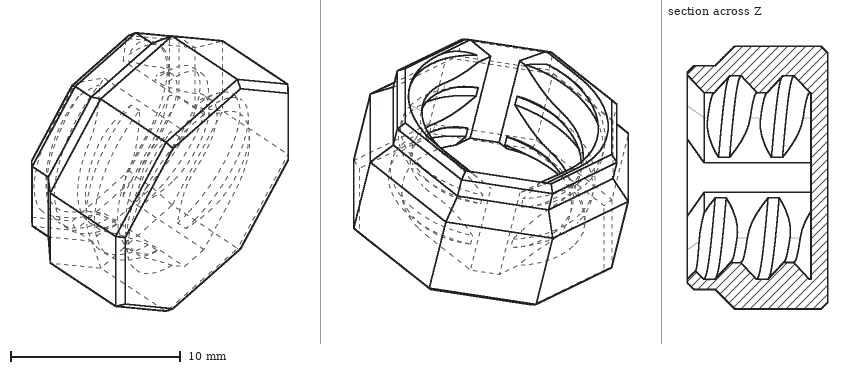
import cadquery as cq
import math

length = 8.3
sides = 8
half_side_angle = 180 / sides
body_flats = 15.5
collar_flats = 13.2
edge_chamfer = 0.4
shoulder_start = 1.65
shoulder_end = shoulder_start + (body_flats - collar_flats) / 2
mouth_flats = collar_flats - 2 * edge_chamfer
back_flats = body_flats - 2 * edge_chamfer

floor_thickness = 1.0
cavity_depth = length - floor_thickness
bore_radius = 5.0
mouth_radius = 6.0
lead_in_depth = 1.0
cavity_half_height = mouth_flats / 2

pitch = 3.12
thread_depth = 1.0
root_width = 0.65
crest_width = 0.61
root_radius = bore_radius + thread_depth
root_position = 2.08
lead_turns = 3
thread_turns = 6
groove_overlap = 0.3


def octagon_section(start, end, start_flats, end_flats):
    """Octagonal prism or frustum between two X positions."""
    corner_scale = 1 / math.cos(math.radians(half_side_angle))
    profile = cq.Workplane("YZ").workplane(offset=start)
    profile = profile.transformed(rotate=(0, 0, half_side_angle))
    profile = profile.polygon(sides, start_flats * corner_scale)
    profile = profile.workplane(offset=end - start).polygon(sides, end_flats * corner_scale)
    return profile.loft(ruled=True)


def make_body():
    """Collar, sloping shoulder and main octagon, with chamfered end edges."""
    stations = [
        (0, mouth_flats),
        (edge_chamfer, collar_flats),
        (shoulder_start, collar_flats),
        (shoulder_end, body_flats),
        (length - edge_chamfer, body_flats),
        (length, back_flats),
    ]
    body = None
    for (start, start_flats), (end, end_flats) in zip(stations, stations[1:]):
        section = octagon_section(start, end, start_flats, end_flats)
        body = section if body is None else body.union(section)
    return body


def cavity_outline(plane, radius):
    """Double teardrop: side arcs, 45 degree tangents and flat ends in Z."""
    tangent = radius / math.sqrt(2)
    flat_half = radius * math.sqrt(2) - cavity_half_height
    return (
        plane.moveTo(tangent, -tangent)
        .threePointArc((radius, 0), (tangent, tangent))
        .lineTo(flat_half, cavity_half_height)
        .lineTo(-flat_half, cavity_half_height)
        .lineTo(-tangent, tangent)
        .threePointArc((-radius, 0), (-tangent, -tangent))
        .lineTo(-flat_half, -cavity_half_height)
        .lineTo(flat_half, -cavity_half_height)
        .close()
    )


def make_cavity():
    """Blind bore and its flared mouth."""
    bore = cavity_outline(cq.Workplane("YZ"), bore_radius).extrude(cavity_depth)
    flare = cavity_outline(cq.Workplane("YZ"), mouth_radius).workplane(offset=lead_in_depth)
    flare = cavity_outline(flare, bore_radius).loft(ruled=True)
    return bore.union(flare)


def make_thread_groove():
    """Helical trapezoidal groove, limited to the depth of the cavity."""
    root_half = root_width / 2
    mouth_half = (pitch - crest_width) / 2
    inner_radius = bore_radius - groove_overlap
    helix = cq.Wire.makeHelix(pitch, thread_turns * pitch, bore_radius)
    groove = (
        cq.Workplane("XZ")
        .moveTo(inner_radius, -mouth_half)
        .lineTo(bore_radius, -mouth_half)
        .lineTo(root_radius, -root_half)
        .lineTo(root_radius, root_half)
        .lineTo(bore_radius, mouth_half)
        .lineTo(inner_radius, mouth_half)
        .close()
        .sweep(cq.Workplane(helix), isFrenet=True)
    )
    groove = groove.rotate((0, 0, 0), (0, 1, 0), 90)
    groove = groove.translate((root_position - lead_turns * pitch, 0, 0))
    limit = cq.Workplane("YZ").circle(body_flats).extrude(cavity_depth)
    return groove.intersect(limit)


result = make_body().cut(make_cavity()).cut(make_thread_groove())